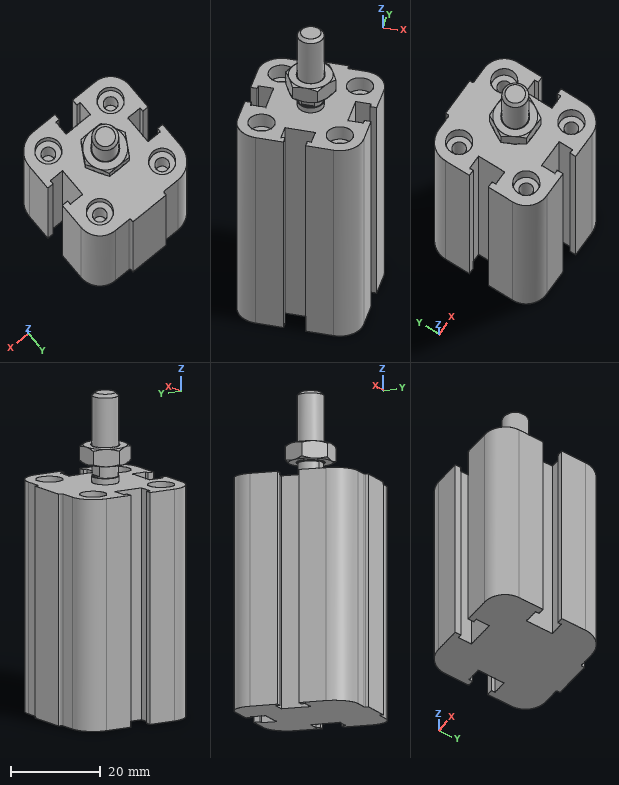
import cadquery as cq
import math

total_height = 73.5

housing_width = 29.0
housing_height = 53.0
corner_radius = 5.5
rib_width = 9.6
rib_height = 0.95
rib_root_radius = 0.3

slot_mouth_width = 5.1
slot_inner_width = 7.0
slot_lip = 1.55
slot_depth = 5.1

hole_diameter = 3.2
hole_depth = 12.5
counterbore_diameter = 6.0
counterbore_depth = 3.5
hole_spacing = housing_width - 2 * corner_radius

rod_diameter = 6.0
rod_tip_chamfer = 0.7
neck_diameter = 5.8
neck_bottom = 54.5
neck_top = 57.3
flat_bottom = 54.75
flat_spacing = 5.0

nut_sides = 6
nut_across_flats = 10.0
nut_height = 4.0
nut_bottom = 57.55
nut_chamfer_angle = 30.0
nut_countersink = 0.2


def t_slot(turn):
    """T-slot along the full height, cut into the -Y side and then turned about Z."""
    side = -housing_width / 2
    mouth = cq.Workplane("XY").box(
        slot_mouth_width, slot_depth, housing_height, centered=(True, False, False)
    )
    inner = cq.Workplane("XY").box(
        slot_inner_width, slot_depth - slot_lip, housing_height, centered=(True, False, False)
    )
    slot = mouth.union(inner.translate((0, slot_lip, 0))).translate((0, side, 0))
    return slot.rotate((0, 0, 0), (0, 0, 1), turn)


def make_housing():
    """Rounded square block with a rib on +Y, three T-slots and four blind screw holes."""
    body = (
        cq.Workplane("XY")
        .rect(housing_width, housing_width)
        .extrude(housing_height)
        .edges("|Z")
        .fillet(corner_radius)
    )
    rib = cq.Workplane("XY").box(
        rib_width, housing_width / 2 + rib_height, housing_height, centered=(True, False, False)
    )
    body = body.union(rib)
    rib_roots = cq.selectors.BoxSelector(
        (-rib_width, housing_width / 2 - rib_root_radius, 0),
        (rib_width, housing_width / 2 + rib_root_radius, housing_height),
    )
    body = body.edges("|Z").edges(rib_roots).fillet(rib_root_radius)
    for turn in (-90, 0, 90):
        body = body.cut(t_slot(turn))
    return (
        body.faces(">Z")
        .workplane(origin=(0, 0, housing_height))
        .rect(hole_spacing, hole_spacing, forConstruction=True)
        .vertices()
        .cboreHole(hole_diameter, counterbore_diameter, counterbore_depth, hole_depth)
    )


def make_rod():
    """Rod standing on the housing, with a thinner neck that carries two wrench flats."""
    rod_radius = rod_diameter / 2
    neck_radius = neck_diameter / 2
    step = rod_radius - neck_radius
    outline = [
        (0, housing_height),
        (rod_radius, housing_height),
        (rod_radius, neck_bottom - step),
        (neck_radius, neck_bottom),
        (neck_radius, neck_top),
        (rod_radius, neck_top + step),
        (rod_radius, total_height - rod_tip_chamfer),
        (rod_radius - rod_tip_chamfer, total_height),
        (0, total_height),
    ]
    rod = cq.Workplane("XZ").polyline(outline).close().revolve(360, (0, 0, 0), (0, 1, 0))
    for side in (-1, 1):
        flat_cut = cq.Workplane("XY").box(
            rod_diameter, rod_diameter, nut_bottom - flat_bottom, centered=(True, True, False)
        )
        offset = side * (flat_spacing + rod_diameter) / 2
        rod = rod.cut(flat_cut.translate((0, offset, flat_bottom)))
    return rod


def make_nut():
    """Hexagonal nut with its corners chamfered, its bore countersunk and two corners on the X axis."""
    across_corners = nut_across_flats / math.cos(math.pi / nut_sides)
    flat_radius = nut_across_flats / 2
    corner_reach = across_corners / 2
    chamfer_drop = (corner_reach - flat_radius) * math.tan(math.radians(nut_chamfer_angle))
    hexagon = cq.Workplane("XY").polygon(nut_sides, across_corners).extrude(nut_height)
    envelope = (
        cq.Workplane("XZ")
        .polyline(
            [
                (0, 0),
                (flat_radius, 0),
                (corner_reach, chamfer_drop),
                (corner_reach, nut_height - chamfer_drop),
                (flat_radius, nut_height),
                (0, nut_height),
            ]
        )
        .close()
        .revolve(360, (0, 0, 0), (0, 1, 0))
    )
    nut = hexagon.intersect(envelope).faces(">Z").workplane().hole(rod_diameter)
    bore_rims = nut.faces("<Z or >Z").edges(cq.selectors.RadiusNthSelector(0))
    return bore_rims.chamfer(nut_countersink).translate((0, 0, nut_bottom))


housing = make_housing()
rod = make_rod()
nut = make_nut()

result = cq.Compound.makeCompound([housing.val(), rod.val(), nut.val()])